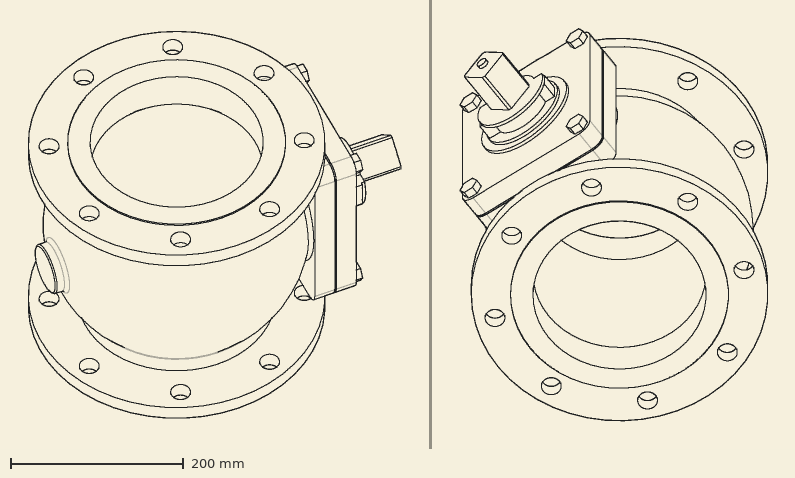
import cadquery as cq
import math

overall_length = 448.5
body_height = 292.0
sphere_radius = 154.7
wall = 15.0
bore_diameter = 200.0
neck_diameter = 230.0
neck_fillet = 3.5

flange_diameter = 343.0
flange_thickness = 19.0
raised_face_diameter = 252.0
raised_face_height = 2.2
bolt_hole_diameter = 23.0
bolt_circle_diameter = 295.0
bolt_hole_count = 8

boss_diameter = 60.0
boss_end_y = -167.0
boss_chamfer = 2.0
boss_fillet = 5.0

pad_diameter = 175.0
bonnet_width = 180.5
bonnet_height = 220.5
bonnet_corner_diameter = 30.0
bonnet_start_y = 134.5
plate_thickness = 25.5
gasket_thickness = 2.0
gasket_inset = 0.5
bolt_head_across_corners = 23.8
bolt_head_height = 9.5

gland_diameters = (120.0, 100.0)
gland_step = 4.0
collar_diameter = 69.5
collar_length = 19.7
stop_span = 91.5
left_arm_height = 20.0
right_arm_height = 33.5
stop_plate_thickness = 4.0
stem_across_flats = 41.0
stem_across_corners = 54.0
stem_length = 53.5
pin_diameter = 12.0

half_height = body_height / 2
bonnet_corner_radius = bonnet_corner_diameter / 2
bonnet_end_y = bonnet_start_y + 2 * plate_thickness + gasket_thickness
collar_start_y = bonnet_end_y + len(gland_diameters) * gland_step
stop_plate_y = collar_start_y + collar_length
stem_start_y = stop_plate_y + stop_plate_thickness
stem_end_y = stem_start_y + stem_length
stem_tip_y = overall_length - flange_diameter / 2


def plane_at(y):
    """Sketch plane facing +Y at the given Y position, with its own x along X and its y along -Z."""
    return cq.Workplane(cq.Plane(origin=(0, y, 0), xDir=(1, 0, 0), normal=(0, 1, 0)))


def disc(diameter, start_y, end_y):
    return plane_at(start_y).circle(diameter / 2).extrude(end_y - start_y)


def rounded_plate(start_y, thickness, inset=0.0):
    return (
        plane_at(start_y)
        .rect(bonnet_width - 2 * inset, bonnet_height - 2 * inset)
        .extrude(thickness)
        .edges("|Y")
        .fillet(bonnet_corner_radius - inset)
    )


def fillet_ring(part, centre, radius):
    """Round the circular edge whose centre lies at the given point."""
    return part.edges("%CIRCLE").edges(cq.selectors.NearestToPointSelector(centre)).fillet(radius)


def sphere_offset(diameter):
    """Distance from the body centre at which a cylinder of this diameter meets the sphere."""
    return math.sqrt(sphere_radius**2 - (diameter / 2) ** 2)


def body_shell():
    """Sphere cut flat at both ends, with a straight neck blended into it at each pole."""
    neck = cq.Workplane("XY").circle(neck_diameter / 2).extrude(half_height, both=True)
    end_limit = cq.Workplane("XY").box(flange_diameter, flange_diameter, body_height)
    shell = cq.Workplane("XY").sphere(sphere_radius).union(neck).intersect(end_limit)
    joint_z = sphere_offset(neck_diameter)
    for z in (-joint_z, joint_z):
        shell = fillet_ring(shell, (0, 0, z), neck_fillet)
    return shell


def upper_flange():
    """Drilled flange with a raised sealing face on top."""
    flange_top = half_height - raised_face_height
    flange = (
        cq.Workplane("XY", origin=(0, 0, flange_top - flange_thickness))
        .circle(flange_diameter / 2)
        .extrude(flange_thickness)
        .faces(">Z")
        .workplane()
        .circle(raised_face_diameter / 2)
        .extrude(raised_face_height)
    )
    holes = (
        cq.Workplane("XY")
        .polarArray(bolt_circle_diameter / 2, 180 / bolt_hole_count, 360, bolt_hole_count)
        .circle(bolt_hole_diameter / 2)
        .extrude(half_height)
    )
    return flange.cut(holes)


def front_boss():
    """Closed round boss, rooted inside the sphere, with a chamfered end."""
    return disc(boss_diameter, boss_end_y, 0).faces("<Y").chamfer(boss_chamfer)


def bonnet():
    """Round pad, two plates with a gasket between them, and a hexagon bolt head at each corner."""
    pad = disc(pad_diameter, 0, bonnet_start_y)
    gasket_y = bonnet_start_y + plate_thickness
    outer_plate_y = gasket_y + gasket_thickness
    bolt_spacing = (
        bonnet_width - 2 * bonnet_corner_radius,
        bonnet_height - 2 * bonnet_corner_radius,
    )
    bolt_heads = (
        plane_at(bonnet_end_y)
        .rect(*bolt_spacing, forConstruction=True)
        .vertices()
        .polygon(6, bolt_head_across_corners)
        .extrude(bolt_head_height)
    )
    return (
        pad.union(rounded_plate(bonnet_start_y, plate_thickness))
        .union(rounded_plate(gasket_y, gasket_thickness, gasket_inset))
        .union(rounded_plate(outer_plate_y, plate_thickness))
        .union(bolt_heads)
    )


def stop_side(direction, arm_height):
    """Stop arm beside the collar and the stop plate sector below its upper edge, toward -X or +X."""
    reach = stop_span / 2
    arm = (
        plane_at(collar_start_y)
        .center(direction * reach / 2, 0)
        .rect(reach, arm_height)
        .extrude(collar_length)
    )
    sector_zone = (
        plane_at(stop_plate_y)
        .center(direction * reach / 2, reach - arm_height / 2)
        .rect(reach, 2 * reach)
        .extrude(stop_plate_thickness)
    )
    sector = disc(stop_span, stop_plate_y, stem_start_y).intersect(sector_zone)
    return arm.union(sector)


def gland_and_stop():
    """Stepped gland rings around a collar that carries the travel stop."""
    gland = disc(collar_diameter, bonnet_end_y, stem_start_y)
    for step, diameter in enumerate(gland_diameters):
        step_y = bonnet_end_y + step * gland_step
        gland = gland.union(disc(diameter, step_y, step_y + gland_step))
    return gland.union(stop_side(-1, left_arm_height)).union(stop_side(1, right_arm_height))


def stem():
    """Square bar standing on its corner, corners cut flat, with a small end pin."""
    square = (
        plane_at(stem_start_y)
        .transformed(rotate=(0, 0, 45))
        .rect(stem_across_flats, stem_across_flats)
        .extrude(stem_length)
    )
    corner_limit = (
        plane_at(stem_start_y)
        .rect(stem_across_corners, stem_across_corners)
        .extrude(stem_length)
    )
    return square.intersect(corner_limit).union(disc(pin_diameter, stem_end_y, stem_tip_y))


result = body_shell().union(front_boss())
result = fillet_ring(result, (0, -sphere_offset(boss_diameter), 0), boss_fillet)

flange = upper_flange()
result = result.union(flange).union(flange.mirror("XY"))
result = result.union(bonnet()).union(gland_and_stop()).union(stem())

cavity = cq.Workplane("XY").sphere(sphere_radius - wall)
bore = cq.Workplane("XY").circle(bore_diameter / 2).extrude(sphere_radius, both=True)
result = result.cut(cavity.union(bore))